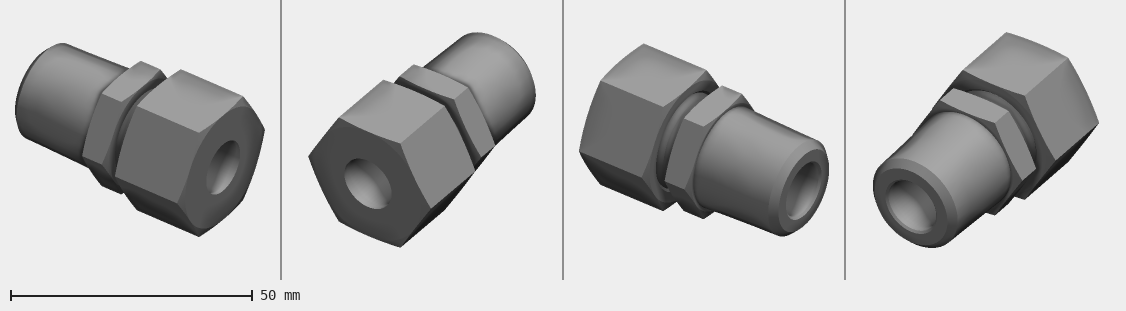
import cadquery as cq
import math

total_length = 46.5
hex_start = 20.0
hex_end = 26.0
neck_end = 28.6
nut_start = 29.55

taper_tip_radius = 10.7
taper_slope = 1 / 32
tip_chamfer = 1.55
body_hex_flats = 24.0
neck_radius = 9.85
spigot_radius = 10.6
shoulder_angle = 30.0
bore_radius = 6.0
bore_mouth_chamfer = 0.45

nut_hex_flats = 27.0
nut_mouth_radius = 11.2

corner_chamfer_angle = 15.0

taper_base_radius = taper_tip_radius + (hex_start - tip_chamfer) * taper_slope
shoulder_length = (spigot_radius - neck_radius) / math.tan(math.radians(shoulder_angle))


def turned(profile):
    """Revolve a closed (x, radius) outline about the X axis."""
    return cq.Workplane("XY").polyline(profile).close().revolve(360, (0, 0, 0), (1, 0, 0))


def chamfered_hexagon(start, end, flats):
    """Hexagon along X, flats facing up and down, corners coned off at both ends."""
    face_radius = flats / 2
    corner_radius = face_radius / math.cos(math.radians(30))
    prism = (
        cq.Workplane("YZ", origin=(start, 0, 0))
        .polygon(6, 2 * corner_radius)
        .extrude(end - start)
    )
    chamfer_depth = (corner_radius - face_radius) * math.tan(math.radians(corner_chamfer_angle))
    envelope = turned([
        (start, 0),
        (start, face_radius),
        (start + chamfer_depth, corner_radius),
        (end - chamfer_depth, corner_radius),
        (end, face_radius),
        (end, 0),
    ])
    return prism.intersect(envelope)


def make_fitting_body():
    """Tapered end, wrench hexagon, neck and the spigot that fills the nut, bored through."""
    tapered_end = turned([
        (0, 0),
        (0, taper_tip_radius - tip_chamfer),
        (tip_chamfer, taper_tip_radius),
        (hex_start, taper_base_radius),
        (hex_start, 0),
    ])
    neck_and_spigot = turned([
        (hex_end, 0),
        (hex_end, neck_radius),
        (neck_end, neck_radius),
        (neck_end + shoulder_length, spigot_radius),
        (total_length, spigot_radius),
        (total_length, 0),
    ])
    bore = turned([
        (0, 0),
        (0, bore_radius + bore_mouth_chamfer),
        (bore_mouth_chamfer, bore_radius),
        (total_length, bore_radius),
        (total_length, 0),
    ])
    wrench_hexagon = chamfered_hexagon(hex_start, hex_end, body_hex_flats)
    return tapered_end.union(wrench_hexagon).union(neck_and_spigot).cut(bore)


def make_nut():
    """Hexagon nut with a hole fitting the spigot, countersunk at the neck end."""
    countersink_end = nut_start + nut_mouth_radius - spigot_radius
    hole = turned([
        (nut_start, 0),
        (nut_start, nut_mouth_radius),
        (countersink_end, spigot_radius),
        (total_length, spigot_radius),
        (total_length, 0),
    ])
    return chamfered_hexagon(nut_start, total_length, nut_hex_flats).cut(hole)


fitting_body = make_fitting_body()
nut = make_nut()

result = cq.Compound.makeCompound([fitting_body.val(), nut.val()])